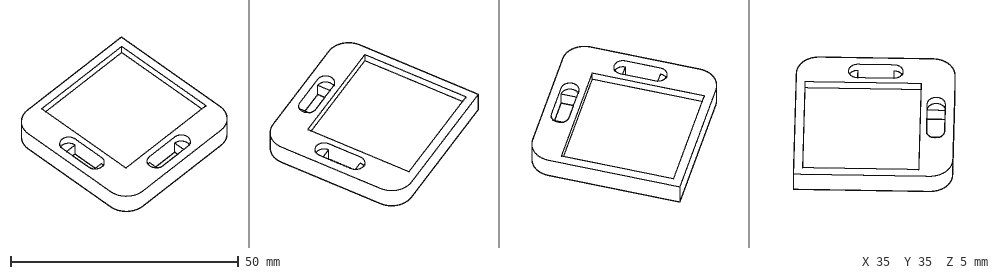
import cadquery as cq

side = 35.0
thickness = 5.0
corner_radius = 5.0

pocket_size = 25.6
pocket_margin = 2.0
pocket_depth = 2.0

slot_length = 12.0
slot_width = 4.0
slot_depth = 2.0
opening_length = slot_length - slot_width
slot_edge_distance = 4.0

slot_offset = side / 2 - slot_edge_distance
pocket_offset = side / 2 - pocket_margin - pocket_size / 2


def make_plate():
    """Square plate with three rounded corners and one sharp corner."""
    plate = cq.Workplane("XY").box(side, side, thickness, centered=(True, True, False))
    return plate.edges("|Z").edges(">X or <Y").fillet(corner_radius)


def make_pocket():
    """Blind square pocket open at the top face."""
    return (
        cq.Workplane("XY", origin=(-pocket_offset, pocket_offset, thickness))
        .rect(pocket_size, pocket_size)
        .extrude(-pocket_depth)
    )


def make_slot(x, y, angle):
    """Rounded recess with flat ledges at both ends of a through opening."""
    recess = (
        cq.Workplane("XY", origin=(0, 0, thickness))
        .slot2D(slot_length, slot_width)
        .extrude(-slot_depth)
    )
    opening = cq.Workplane("XY").rect(opening_length, slot_width).extrude(thickness)
    return recess.union(opening).rotate((0, 0, 0), (0, 0, 1), angle).translate((x, y, 0))


result = make_plate().cut(make_pocket())
for x, y, angle in ((0, -slot_offset, 0), (slot_offset, 0, 90)):
    result = result.cut(make_slot(x, y, angle))